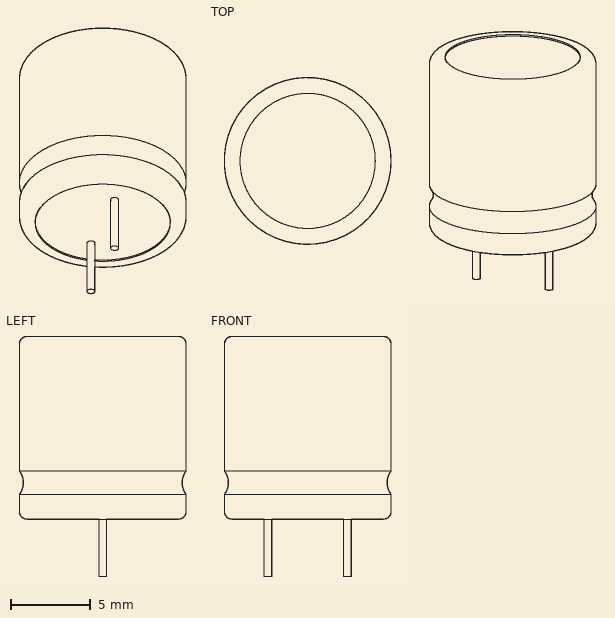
import cadquery as cq
import math


body_diameter = 10.5
body_height = 11.5
edge_radius = 0.5
sleeve_thickness = 0.1
sleeve_opening_radius = 4.25

groove_height = 2.3
groove_depth = 0.25
groove_width = 1.47

lead_diameter = 0.5
lead_pitch = 5.0
lead_protrusion = 3.6

body_radius = body_diameter / 2
throat_radius = body_radius - groove_depth
groove_half_width = groove_width / 2
groove_arc_radius = (groove_half_width**2 + groove_depth**2) / (2 * groove_depth)
groove_arc_center = throat_radius + groove_arc_radius


def revolved_body(inset):
    """Grooved round body whose whole surface lies `inset` inside the sleeve's outer surface."""
    wall = body_radius - inset
    bottom = inset
    top = body_height - inset
    corner = edge_radius - inset
    flat = wall - corner
    corner_mid = flat + corner * math.cos(math.pi / 4)
    corner_rise = corner * (1 - math.sin(math.pi / 4))

    arc_radius = groove_arc_radius + inset
    half_angle = math.acos((groove_arc_center - wall) / arc_radius)

    def groove_point(angle):
        radius = groove_arc_center - arc_radius * math.cos(angle)
        return radius, groove_height + arc_radius * math.sin(angle)

    return (
        cq.Workplane("XZ")
        .moveTo(0, bottom)
        .lineTo(flat, bottom)
        .threePointArc((corner_mid, bottom + corner_rise), (wall, bottom + corner))
        .lineTo(*groove_point(-half_angle))
        .threePointArc(groove_point(0), groove_point(half_angle))
        .lineTo(wall, top - corner)
        .threePointArc((corner_mid, top - corner_rise), (flat, top))
        .lineTo(0, top)
        .close()
        .revolve(360, (0, 0, 0), (0, 1, 0))
    )


def make_can():
    """Can filling the sleeve, its end faces showing through the sleeve openings."""
    return revolved_body(sleeve_thickness)


def make_sleeve(can):
    """Thin sleeve that follows the can and curls over both ends."""
    openings = cq.Workplane("XY").circle(sleeve_opening_radius).extrude(body_height)
    return revolved_body(0).cut(openings).cut(can).solids()


def make_lead(x):
    """Round wire lead hanging from the underside of the can."""
    return (
        cq.Workplane("XY")
        .workplane(offset=-lead_protrusion)
        .center(x, 0)
        .circle(lead_diameter / 2)
        .extrude(lead_protrusion + sleeve_thickness)
    )


can = make_can()
sleeve = make_sleeve(can)
leads = [make_lead(side * lead_pitch / 2) for side in (-1, 1)]

result = cq.Compound.makeCompound([can.val(), sleeve.val(), *[lead.val() for lead in leads]])